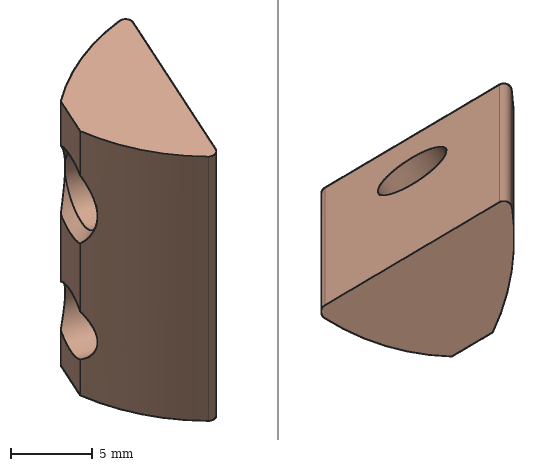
import cadquery as cq
import math

width = 13.7
depth = 7.0
length = 22

nose_width = 3.0
corner_radius = 0.5
flank_angle = 24

hole_diameter = 5.0
through_hole_z = 15.47
countersink_diameter = 6.42
blind_hole_z = 5.0
blind_depth = 4.0
drill_tip_angle = 118

hole_radius = hole_diameter / 2
back_y = depth / 2
nose_y = -depth / 2


def make_bar():
    """Extrude the cross-section: flat back, rounded corners, bulging flanks and a flat nose."""
    half_width = width / 2
    half_nose = nose_width / 2
    corner_x = half_width - corner_radius
    corner_y = back_y - corner_radius
    angle = math.radians(flank_angle)
    flank_start = (
        corner_x + corner_radius * math.cos(angle),
        corner_y - corner_radius * math.sin(angle),
    )
    half_section = (
        cq.Workplane("XY")
        .moveTo(0, back_y)
        .lineTo(corner_x, back_y)
        .threePointArc((half_width, corner_y), flank_start)
        .tangentArcPoint((half_nose, nose_y), relative=False)
        .lineTo(0, nose_y)
        .close()
    )
    half_bar = half_section.extrude(length)
    return half_bar.union(half_bar.mirror("YZ")).clean()


def turned_cutter(profile, z):
    """Revolve a (radius, depth from nose) profile about the Y-parallel hole axis at height z."""
    points = [(radius, nose_y + inward) for radius, inward in profile]
    cutter = cq.Workplane("XY").polyline(points).close().revolve(360, (0, 0), (0, 1))
    return cutter.translate((0, 0, z))


def through_hole():
    """Through hole with a 90 degree countersink at the nose."""
    countersink_radius = countersink_diameter / 2
    countersink_depth = countersink_radius - hole_radius
    profile = [
        (0, 0),
        (countersink_radius, 0),
        (hole_radius, countersink_depth),
        (hole_radius, depth),
        (0, depth),
    ]
    return turned_cutter(profile, through_hole_z)


def blind_hole():
    """Drilled hole with a conical bottom."""
    tip_height = hole_radius / math.tan(math.radians(drill_tip_angle / 2))
    profile = [
        (0, 0),
        (hole_radius, 0),
        (hole_radius, blind_depth),
        (0, blind_depth + tip_height),
    ]
    return turned_cutter(profile, blind_hole_z)


result = make_bar().cut(through_hole()).cut(blind_hole())